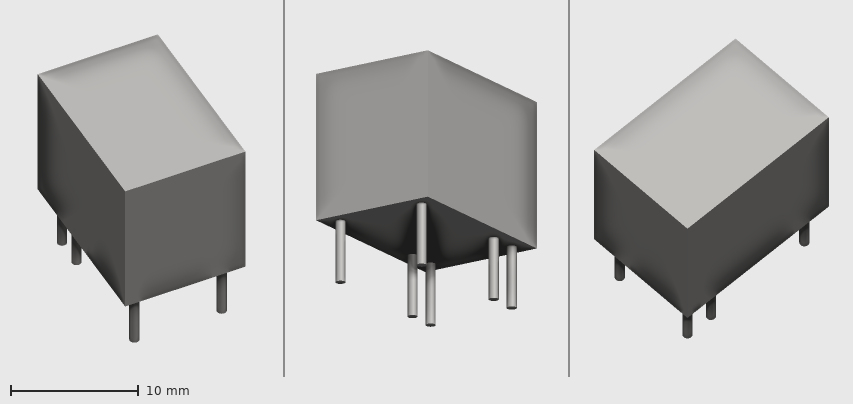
import cadquery as cq

body_length = 15.37
body_width = 10.5
body_height = 12.07

total_height = 17.1
pin_length = total_height - body_height
pin_diameter = 0.8
row_spacing = 7.63
pin_pitch = 2.55
end_pin_distance = 12.7
first_pin_x = -6.3

pin_columns = [first_pin_x, first_pin_x + pin_pitch, first_pin_x + end_pin_distance]
pin_rows = [-row_spacing / 2, row_spacing / 2]


def make_body():
    """Block standing on the XY plane, centred in X and Y."""
    return cq.Workplane("XY").box(body_length, body_width, body_height, centered=(True, True, False))


def make_pins():
    """Pins hanging down from the underside of the body."""
    pin_centers = [(x, y) for x in pin_columns for y in pin_rows]
    return cq.Workplane("XY").pushPoints(pin_centers).circle(pin_diameter / 2).extrude(-pin_length)


result = make_body().union(make_pins())